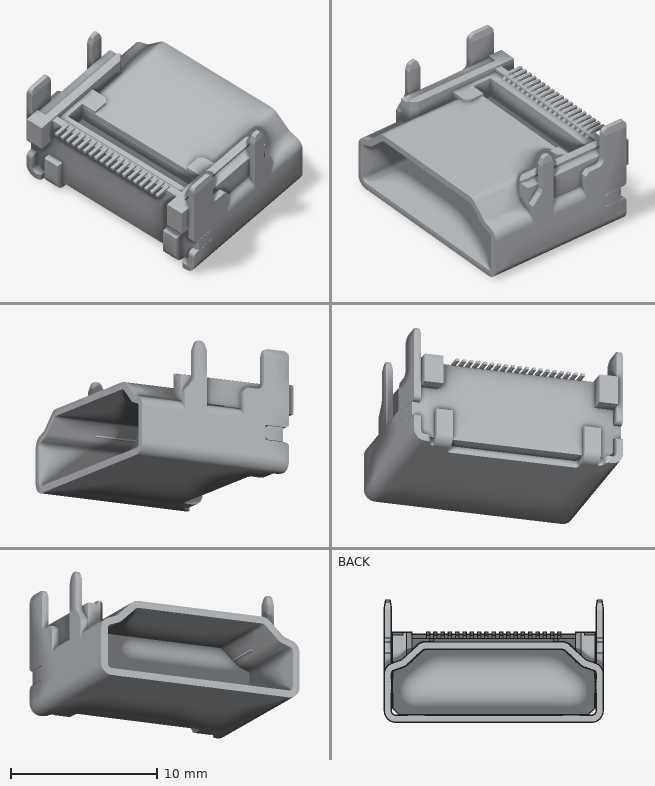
import cadquery as cq


half_width = 15 / 2
length = 12.15
height = 8.38
sheet = 0.5
shell_rear = 0.63
housing_rear = shell_rear + sheet
shell_inner_x = half_width - sheet

shell_top = 5.5
bottom_bend = 0.8
shoulder_z = 3.87
shoulder_knee = (6.32, 4.28)
slope_top_x = 5.0
shoulder_radius = 0.8
knee_radius = 0.52
slope_radius = 0.82
wall_top = 3.3
top_plate_rear = 3.87

leg_taper_z = 7.88
leg_tip_inset = 0.09
front_leg_y = (7.08, 8.04)
front_leg_base_y = 8.85
rear_leg_y = 2.62
rear_leg_base_y = 4.2
rear_leg_shelf_z = 5.49

slot_z = (1.96, 3.02)
slot_front = 2.48
slot_corner = 0.09
slot_mouth = 0.3
ear_chamfer = 0.2

tab_x = (4.71, 5.91)
tab_top = 2.49
tab_bend = 0.69
notch_outer_x = 6.6
bottom_rear = 2.19
bottom_corner = 0.28

housing_half_width = 6.93
housing_bottom = 0.52
housing_top = 5.75
housing_chamfer = 0.45
housing_front = 5.37
ledge_front = 1.64
ledge_top = 6.05
shell_gap = 0.03
pocket_half_width = 5.25
pocket_rear = 2.32
pocket_floor = 4.2
pad_inner_x = 4.1
pad_chamfer = 0.32

rail_inner_x = 5.61
rail_outer_x = 6.95
rail_step_x = 6.21
rail_top = 6.18
rail_step_z = 5.97
rail_bottom = 4.14
rail_front = 8.85
rail_chamfer_x = 0.38
rail_chamfer_y = 0.5

tail_count = 19
tail_pitch = 1.5 / 3
tail_width = 0.24
tail_rear = 0.21
tail_bend_y = 1.41
tail_front = 1.83
tail_top = 6.2
tail_thickness = 0.2


def box(x, y, z):
    """Box spanning the given (low, high) pairs."""
    size = (x[1] - x[0], y[1] - y[0], z[1] - z[0])
    return cq.Workplane("XY").box(*size, centered=False).translate((x[0], y[0], z[0]))


def both_sides(solid):
    """The solid together with its mirror image across X = 0."""
    return solid.union(solid.mirror("YZ"))


def along_y(profile, start, end):
    """Extrude a closed XZ workplane profile from Y = start to Y = end."""
    return profile.extrude(start - end).translate((0, start, 0))


def shell_section():
    """Rounded D-shaped prism with the outer form of the shell."""
    knee_x, knee_z = shoulder_knee
    right = [
        (half_width, 0),
        (half_width, shoulder_z),
        (knee_x, knee_z),
        (slope_top_x, shell_top),
    ]
    left = [(-x, z) for x, z in reversed(right)]
    prism = along_y(cq.Workplane("XZ").polyline(right + left).close(), shell_rear, length)

    corners = (
        (half_width, 0, bottom_bend),
        (half_width, shoulder_z, shoulder_radius),
        (knee_x, knee_z, knee_radius),
        (slope_top_x, shell_top, slope_radius),
    )
    middle_y = (shell_rear + length) / 2
    for x, z, radius in corners:
        for side in (-1, 1):
            edge = cq.selectors.NearestToPointSelector((side * x, middle_y, z))
            prism = prism.edges("|Y").edges(edge).fillet(radius)
    return prism


def make_tube(gap=0):
    """Open sheet-metal tube, cut away above the side walls behind the top plate.

    A gap thickens the sheet on both faces, which gives the clearance around the tube.
    """
    section = shell_section().faces(">Y").wires().val()
    outer_wire = section.offset2D(gap)[0] if gap else section
    inner_wire = section.offset2D(-sheet - gap)[0]
    to_rear = cq.Vector(0, shell_rear - length, 0)
    tube = cq.Workplane(cq.Solid.extrudeLinear(outer_wire, [inner_wire], to_rear))
    open_rear = box((-length, length), (shell_rear, top_plate_rear), (wall_top, height))
    return tube.cut(open_rear)


def make_legs():
    """Pointed front legs and wide rear legs standing on both side walls."""
    low_y, high_y = front_leg_y
    tip_corner_y = 0.15
    tip_corner_z = 0.15
    tip_start = 7.71
    neck_start = 5.78
    neck_end = 5.52
    neck_growth = 0.1
    base_shoulder = 4.74
    front_leg = (
        cq.Workplane("YZ")
        .moveTo(low_y, wall_top)
        .lineTo(low_y, tip_start)
        .lineTo(low_y + tip_corner_y, height - tip_corner_z)
        .lineTo(low_y + 2 * tip_corner_y, height)
        .lineTo(high_y - 2 * tip_corner_y, height)
        .lineTo(high_y - tip_corner_y, height - tip_corner_z)
        .lineTo(high_y, tip_start)
        .lineTo(high_y, neck_start)
        .lineTo(high_y + neck_growth, neck_end)
        .lineTo(front_leg_base_y, base_shoulder)
        .lineTo(front_leg_base_y, wall_top)
        .close()
        .extrude(half_width)
    )

    crown_radius = 0.39
    shelf_radius = 0.48
    shelf_chamfer = 0.28
    rear_leg = (
        cq.Workplane("YZ")
        .moveTo(shell_rear, wall_top)
        .lineTo(shell_rear, height - crown_radius)
        .radiusArc((shell_rear + crown_radius, height), crown_radius)
        .lineTo(rear_leg_y - crown_radius, height)
        .radiusArc((rear_leg_y, height - crown_radius), crown_radius)
        .lineTo(rear_leg_y, rear_leg_shelf_z + shelf_radius)
        .radiusArc((rear_leg_y + shelf_radius, rear_leg_shelf_z), -shelf_radius)
        .lineTo(rear_leg_base_y - shelf_chamfer, rear_leg_shelf_z)
        .lineTo(rear_leg_base_y, rear_leg_shelf_z - shelf_chamfer)
        .lineTo(rear_leg_base_y, wall_top)
        .close()
        .extrude(half_width)
    )

    sheet_profile = cq.Workplane("XZ").polyline([
        (shell_inner_x, wall_top),
        (shell_inner_x, leg_taper_z),
        (shell_inner_x + leg_tip_inset, height),
        (half_width - leg_tip_inset, height),
        (half_width, leg_taper_z),
        (half_width, wall_top),
    ]).close()
    tapered_sheet = along_y(sheet_profile, 0, length)
    return both_sides(front_leg.union(rear_leg).intersect(tapered_sheet))


def make_slots():
    """Cutter for the side wall slots, open to the rear with rounded mouths."""
    low_z, high_z = slot_z
    slot = box((shell_inner_x, half_width), (shell_rear, slot_front), slot_z)
    slot = slot.edges("|X and >Y").fillet(slot_corner)
    mouth = (
        cq.Workplane("YZ")
        .moveTo(shell_rear, low_z - slot_mouth)
        .radiusArc((shell_rear + slot_mouth, low_z), slot_mouth)
        .lineTo(shell_rear + slot_mouth, high_z)
        .radiusArc((shell_rear, high_z + slot_mouth), slot_mouth)
        .close()
        .extrude(sheet)
        .translate((shell_inner_x, 0, 0))
    )
    return both_sides(slot.union(mouth))


def make_bottom_reliefs():
    """Cutter that sets the bottom plate back between and beside the rear tabs."""
    inner_x, outer_x = tab_x
    plate_z = (0, sheet)
    middle = box((-inner_x, inner_x), (shell_rear, bottom_rear), plate_z)
    middle = middle.edges("|Z and >Y").fillet(bottom_corner)
    radius = (notch_outer_x - outer_x) / 2
    neck_x = outer_x + radius
    notch = (
        cq.Workplane("XY")
        .moveTo(outer_x, shell_rear)
        .lineTo(notch_outer_x, shell_rear)
        .radiusArc((neck_x, shell_rear + radius), radius)
        .radiusArc((outer_x, shell_rear + 2 * radius), -radius)
        .close()
        .extrude(sheet)
    )
    return middle.union(both_sides(notch))


def make_rear_tabs():
    """Upright tabs behind the housing, with a rounded bend at the bottom plate."""
    bend_centre_y = shell_rear + tab_bend
    profile = (
        cq.Workplane("YZ")
        .moveTo(bend_centre_y, 0)
        .radiusArc((shell_rear, tab_bend), tab_bend)
        .lineTo(shell_rear, tab_top)
        .lineTo(housing_rear, tab_top)
        .lineTo(housing_rear, tab_bend)
        .radiusArc((bend_centre_y, sheet), -(tab_bend - sheet))
        .close()
    )
    inner_x, outer_x = tab_x
    return both_sides(profile.extrude(outer_x - inner_x).translate((inner_x, 0, 0)))


def make_shell():
    """Complete sheet-metal shell."""
    bend_clearance = both_sides(box(tab_x, (shell_rear, shell_rear + tab_bend), (0, sheet)))
    shell = make_tube().union(make_legs())
    shell = shell.cut(make_slots()).cut(make_bottom_reliefs()).cut(bend_clearance)
    return shell.union(make_rear_tabs())


def make_housing_body():
    """Chamfered block with a rear ledge, a top pocket and two pads reaching over the shell."""
    body = box(
        (-housing_half_width, housing_half_width),
        (housing_rear, housing_front),
        (housing_bottom, housing_top),
    )
    body = body.edges("|Y and <Z").chamfer(housing_chamfer)

    ledge = box(
        (-rail_inner_x, rail_inner_x),
        (housing_rear, ledge_front),
        (housing_top, ledge_top),
    )
    pocket = box(
        (-pocket_half_width, pocket_half_width),
        (pocket_rear, top_plate_rear),
        (pocket_floor, housing_top),
    )
    between_pads = (
        cq.Workplane("XY")
        .workplane(offset=shell_top)
        .polyline([
            (-pad_inner_x, top_plate_rear),
            (pad_inner_x, top_plate_rear),
            (pad_inner_x, housing_front - pad_chamfer),
            (pad_inner_x + pad_chamfer, housing_front),
            (-pad_inner_x - pad_chamfer, housing_front),
            (-pad_inner_x, housing_front - pad_chamfer),
        ])
        .close()
        .extrude(housing_top - shell_top)
    )
    return body.union(ledge).cut(pocket).cut(between_pads).cut(make_tube(shell_gap))


def make_ears():
    """Housing ears that sit in the side wall slots, flush with the outer faces of the shell."""
    ear_z = (slot_z[0] + shell_gap, slot_z[1] - shell_gap)
    ear = box((housing_half_width, half_width), (housing_rear, slot_front), ear_z)
    return both_sides(ear.edges("|X and >Y").chamfer(ear_chamfer))


def make_rails():
    """Stepped side rails with an overhanging block at the rear end."""
    rail = box((rail_inner_x, rail_outer_x), (0, rail_front), (rail_bottom, rail_top))
    inner_corner = (
        cq.Workplane("XY")
        .workplane(offset=rail_bottom)
        .polyline([
            (rail_inner_x, rail_front),
            (rail_inner_x + rail_chamfer_x, rail_front),
            (rail_inner_x, rail_front - rail_chamfer_y),
        ])
        .close()
        .extrude(rail_top - rail_bottom)
    )
    step = box((rail_step_x, rail_outer_x), (housing_rear, rail_front), (rail_step_z, rail_top))
    return both_sides(rail.cut(inner_corner).cut(step))


def add_tails(body):
    """Add the row of contact tails, each dipping into the housing at its inner end."""
    profile = cq.Workplane("YZ").polyline([
        (tail_rear, tail_top - tail_thickness),
        (tail_rear, tail_top),
        (tail_bend_y, tail_top),
        (tail_front, housing_top),
        (tail_front, housing_top - tail_thickness),
        (tail_bend_y, tail_top - tail_thickness),
    ]).close()
    tail = profile.extrude(tail_width / 2, both=True)
    for index in range(tail_count):
        position = (index - (tail_count - 1) / 2) * tail_pitch
        body = body.union(tail.translate((position, 0, 0)))
    return body


housing = make_housing_body().union(make_ears()).union(make_rails())
result = add_tails(housing.union(make_shell()))